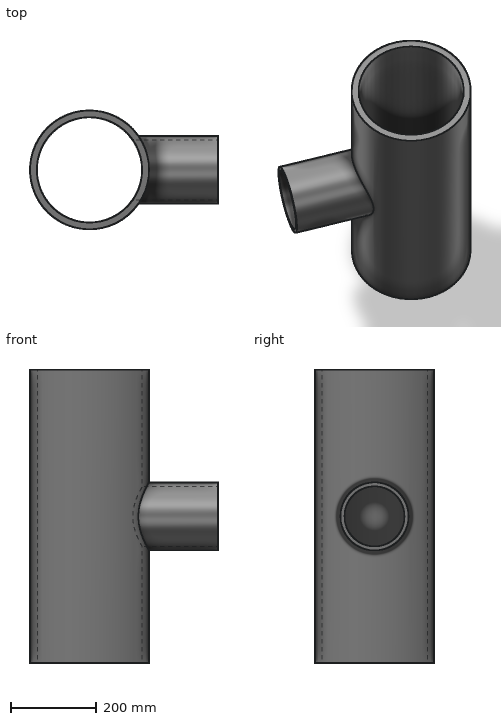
import cadquery as cq

main_length = 690.0
main_diameter = 280.0
main_wall = 16.5

branch_diameter = 160.0
branch_reach = 302.0
branch_wall = main_wall * branch_diameter / main_diameter


def main_cylinder(diameter):
    """Upright cylinder over the full length of the main pipe."""
    return cq.Workplane("XY").circle(diameter / 2).extrude(main_length / 2, both=True)


def branch_cylinder(diameter):
    """Cylinder from the main axis to the open end of the branch."""
    return cq.Workplane("YZ").circle(diameter / 2).extrude(branch_reach)


outside = main_cylinder(main_diameter).union(branch_cylinder(branch_diameter))
main_bore = main_cylinder(main_diameter - 2 * main_wall)
branch_bore = branch_cylinder(branch_diameter - 2 * branch_wall)

result = outside.cut(main_bore).cut(branch_bore)